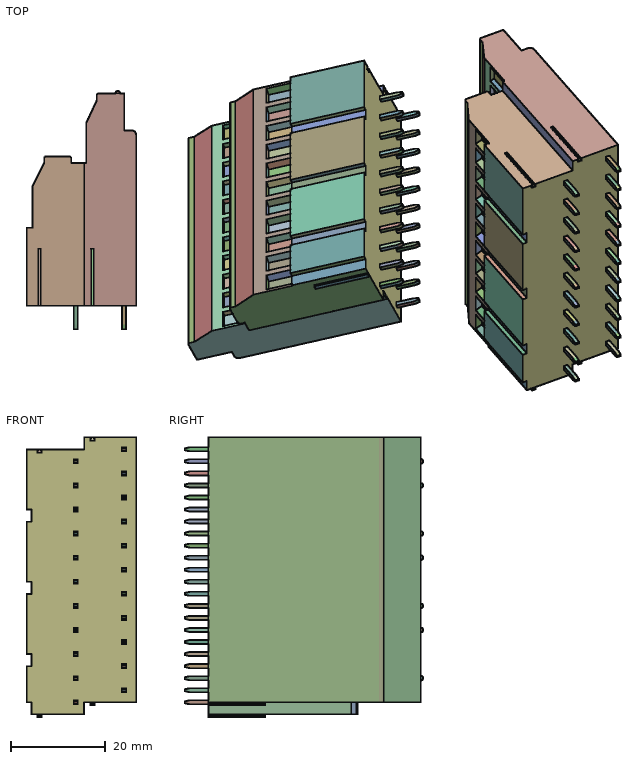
import cadquery as cq
import math


PITCH = 5.08
POLES = 11
ROW_LENGTH = PITCH * POLES
ROW_SHIFT = PITCH / 2

TOTAL_WIDTH = 23.1
ROW_SPLIT = 12.1
CORNER_CHAMFER = 0.3

FRONT_FACE = 1.2
FRONT_SHELF = 16.5
FRONT_SLOPE_START = 25.2
FRONT_SLOPE_END = 30.1
FRONT_TOP = 31.5
FRONT_TOP_X = (3.65, 9.4)
FRONT_BACK_SHELF = 30.1

REAR_FACE = 12.55
REAR_SLOPE_START = 38.6
REAR_SLOPE_END = 43.3
REAR_TOP = 44.8
REAR_TOP_X = (14.75, 20.6)
REAR_BACK_SHELF = 37.0
REAR_ROUND = 1.0

ENTRY_LENGTH_Z = 3.85
ENTRY_TAPER = 20.0
FRONT_ENTRY_TOP = 22.3
FRONT_ENTRY_DEPTH = 1.5
REAR_ENTRY_TOP = 36.1
REAR_ENTRY_DEPTH = 0.9

NOTCH_DEPTH = 1.0
NOTCH_LENGTH = PITCH / 2
NOTCH_SPACING = 3 * PITCH
FULL_NOTCH_COUNT = 3
FIRST_NOTCH_Z = 2 * PITCH

COUPLING_LENGTH = 12.0
COUPLING_X = (2.7, 13.85)
RIB_HEIGHT = 0.6
RIB_NECK_WIDTH = 0.4
RIB_HEAD_WIDTH = 0.9
GROOVE_DEPTH = 0.7
GROOVE_NECK_WIDTH = 0.5
GROOVE_HEAD_WIDTH = 1.0

PIN_LENGTH = 5.0
PIN_SIZE = 0.9
PIN_TIP_LENGTH = 1.0
PIN_TIP_THICKNESS = 0.4
PIN_ROOT = 1.0
FRONT_PIN_X = 10.35
REAR_PIN_X = FRONT_PIN_X + 2 * PITCH

DOT_RADIUS = 0.5
DOT_X = 19.2
DOT_SKIP = 3


def front_row():
    ridge_left, ridge_right = FRONT_TOP_X
    outline = [
        (0, 0),
        (0, FRONT_SHELF),
        (FRONT_FACE, FRONT_SHELF),
        (FRONT_FACE, FRONT_SLOPE_START),
        (ridge_left, FRONT_SLOPE_END),
        (ridge_left, FRONT_TOP - CORNER_CHAMFER),
        (ridge_left + CORNER_CHAMFER, FRONT_TOP),
        (ridge_right - CORNER_CHAMFER, FRONT_TOP),
        (ridge_right, FRONT_TOP - CORNER_CHAMFER),
        (ridge_right, FRONT_BACK_SHELF),
        (ROW_SPLIT, FRONT_BACK_SHELF),
        (ROW_SPLIT, 0),
    ]
    return cq.Workplane("XY").polyline(outline).close().extrude(ROW_LENGTH)


def rear_row():
    ridge_left, ridge_right = REAR_TOP_X
    round_mid = REAR_ROUND * (1 - math.sqrt(0.5))
    return (
        cq.Workplane("XY", origin=(0, 0, ROW_SHIFT))
        .moveTo(ROW_SPLIT, 0)
        .lineTo(ROW_SPLIT, FRONT_BACK_SHELF)
        .lineTo(REAR_FACE, FRONT_BACK_SHELF)
        .lineTo(REAR_FACE, REAR_SLOPE_START)
        .lineTo(ridge_left, REAR_SLOPE_END)
        .lineTo(ridge_left, REAR_TOP - CORNER_CHAMFER)
        .lineTo(ridge_left + CORNER_CHAMFER, REAR_TOP)
        .lineTo(ridge_right, REAR_TOP)
        .lineTo(ridge_right, REAR_BACK_SHELF)
        .lineTo(TOTAL_WIDTH - REAR_ROUND, REAR_BACK_SHELF)
        .threePointArc(
            (TOTAL_WIDTH - round_mid, REAR_BACK_SHELF - round_mid),
            (TOTAL_WIDTH, REAR_BACK_SHELF - REAR_ROUND),
        )
        .lineTo(TOTAL_WIDTH, 0)
        .close()
        .extrude(ROW_LENGTH)
    )


def pole_centres(row_bottom):
    return [row_bottom + PITCH * (pole + 0.5) for pole in range(POLES)]


def wire_entries(face_x, y_low, y_high, depth, row_bottom):
    """Pockets cut into one row, one per pole."""
    half_mouth = ENTRY_LENGTH_Z / 2
    half_floor = half_mouth - depth * math.tan(math.radians(ENTRY_TAPER))
    entries = cq.Workplane("XZ", origin=(0, y_low, 0))
    for z in pole_centres(row_bottom):
        section = [
            (face_x, z - half_mouth),
            (face_x + depth, z - half_floor),
            (face_x + depth, z + half_floor),
            (face_x, z + half_mouth),
        ]
        entries = entries.polyline(section).close()
    return entries.extrude(y_low - y_high)


def panel_notches():
    starts = [0]
    for index in range(FULL_NOTCH_COUNT):
        starts.append(FIRST_NOTCH_Z + index * NOTCH_SPACING)
    centres = [(NOTCH_DEPTH / 2, FRONT_SHELF / 2, z + NOTCH_LENGTH / 2) for z in starts]
    return cq.Workplane("XY").pushPoints(centres).box(NOTCH_DEPTH, FRONT_SHELF, NOTCH_LENGTH)


def coupling(x, z, height, neck_width, head_width):
    """T-shaped bar hanging from height z, half neck and half head."""
    neck_end = z - height / 2
    section = [
        (x - neck_width / 2, z),
        (x - neck_width / 2, neck_end),
        (x - head_width / 2, neck_end),
        (x - head_width / 2, z - height),
        (x + head_width / 2, z - height),
        (x + head_width / 2, neck_end),
        (x + neck_width / 2, neck_end),
        (x + neck_width / 2, z),
    ]
    return cq.Workplane("XZ").polyline(section).close().extrude(-COUPLING_LENGTH)


def solder_pins(x, row_bottom):
    half_size = PIN_SIZE / 2
    half_tip = PIN_TIP_THICKNESS / 2
    shoulder = PIN_TIP_LENGTH - PIN_LENGTH
    pins = cq.Workplane("YZ", origin=(x - half_size, 0, 0))
    for z in pole_centres(row_bottom):
        profile = [
            (PIN_ROOT, z - half_size),
            (shoulder, z - half_size),
            (-PIN_LENGTH, z - half_tip),
            (-PIN_LENGTH, z + half_tip),
            (shoulder, z + half_size),
            (PIN_ROOT, z + half_size),
        ]
        pins = pins.polyline(profile).close()
    return pins.extrude(PIN_SIZE)


def marker_dots():
    row_top = ROW_SHIFT + ROW_LENGTH
    boundaries = [count for count in range(1, POLES) if count % DOT_SKIP != 0]
    centres = [(DOT_X, REAR_TOP, row_top - PITCH * count) for count in boundaries]
    return cq.Workplane("XY").pushPoints(centres).sphere(DOT_RADIUS)


housing = front_row().union(rear_row())
housing = housing.cut(
    wire_entries(FRONT_FACE, FRONT_SHELF, FRONT_ENTRY_TOP, FRONT_ENTRY_DEPTH, 0)
)
housing = housing.cut(
    wire_entries(REAR_FACE, FRONT_BACK_SHELF, REAR_ENTRY_TOP, REAR_ENTRY_DEPTH, ROW_SHIFT)
)
housing = housing.cut(panel_notches())

for coupling_x, row_start in zip(COUPLING_X, (0, ROW_SHIFT)):
    row_end = row_start + ROW_LENGTH
    groove = coupling(coupling_x, row_end, GROOVE_DEPTH, GROOVE_NECK_WIDTH, GROOVE_HEAD_WIDTH)
    rib = coupling(coupling_x, row_start, RIB_HEIGHT, RIB_NECK_WIDTH, RIB_HEAD_WIDTH)
    housing = housing.cut(groove).union(rib)

result = (
    housing.union(solder_pins(FRONT_PIN_X, 0))
    .union(solder_pins(REAR_PIN_X, ROW_SHIFT))
    .union(marker_dots())
)